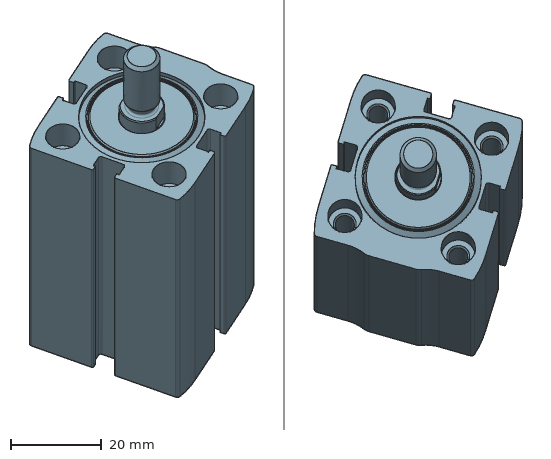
import cadquery as cq
import math

TOTAL_HEIGHT = 83.5
HOUSING_HEIGHT = 64.0
HOUSING_WIDTH = 38.5
HALF_WIDTH = HOUSING_WIDTH / 2

SIDE_FLAT_HALF = 12.7
SIDE_ARC_RADIUS = 21.7
CORNER_RADIUS = 0.8

PAD_HEIGHT = 1.0
PAD_FOOT_HALF = 10.4
PAD_CONCAVE_RADIUS = 10.0
PAD_BEND_HALF = 6.6

SLOT_MOUTH_HALF = 2.6
SLOT_INNER_HALF = 3.2
SLOT_DEPTH = 4.5
SLOT_LIP = 1.3
SLOT_FLOOR_RADIUS = 0.6
SLOT_MOUTH_RADIUS = 0.3

BOLT_SPACING = 26.05
BOLT_DIAMETER = 4.2
BOLT_CHAMFER = 0.4
COUNTERBORE_DIAMETER = 7.5
COUNTERBORE_DEPTH = 7.0

GROOVE_OUTER_DIAMETER = 27.8
GROOVE_DEPTH = 1.1
CREST_OUTER_DIAMETER = 24.7
CREST_INNER_DIAMETER = 24.1
CREST_DEPTH = 0.1

GAP_INNER_DIAMETER = 23.55
GAP_DEPTH = 0.5
BOSS_TOP_DIAMETER = 22.9
BOSS_CHAMFER_HEIGHT = 0.3

ROD_DIAMETER = 10.0
ROD_INSERTION = HOUSING_HEIGHT / 2
ROD_SEAT_CHAMFER = 0.2
HUB_HEIGHT = 3.5
HUB_CHAMFER = 0.25
HUB_ACROSS_FLATS = 9.0
NECK_DIAMETER = 6.3
NECK_FILLET = 0.6
THREAD_DIAMETER = 8.0
THREAD_START = 5.85
TIP_FLAT_DIAMETER = 6.4


def housing_block():
    """Prism with bulged X sides and the low pad on its +Y side."""
    arc_height = HALF_WIDTH - SIDE_FLAT_HALF

    def side_arc(rise):
        inset = SIDE_ARC_RADIUS - math.sqrt(SIDE_ARC_RADIUS**2 - rise**2)
        return HALF_WIDTH - inset, SIDE_FLAT_HALF + rise

    mid_x, mid_y = side_arc(arc_height / 2)
    corner_x, corner_y = side_arc(arc_height)

    turn = math.asin((PAD_FOOT_HALF - PAD_BEND_HALF) / PAD_CONCAVE_RADIUS)
    bend_rise = PAD_CONCAVE_RADIUS * (1 - math.cos(turn))
    convex_radius = (PAD_HEIGHT - bend_rise) / (1 - math.cos(turn))
    pad_top_half = PAD_BEND_HALF - convex_radius * math.sin(turn)
    concave_mid = (
        PAD_FOOT_HALF - PAD_CONCAVE_RADIUS * math.sin(turn / 2),
        HALF_WIDTH + PAD_CONCAVE_RADIUS * (1 - math.cos(turn / 2)),
    )
    pad_top = HALF_WIDTH + PAD_HEIGHT
    convex_mid = (
        pad_top_half + convex_radius * math.sin(turn / 2),
        pad_top - convex_radius * (1 - math.cos(turn / 2)),
    )

    half = (
        cq.Workplane("XY")
        .moveTo(0, -HALF_WIDTH)
        .lineTo(corner_x, -corner_y)
        .threePointArc((mid_x, -mid_y), (HALF_WIDTH, -SIDE_FLAT_HALF))
        .lineTo(HALF_WIDTH, SIDE_FLAT_HALF)
        .threePointArc((mid_x, mid_y), (corner_x, corner_y))
        .lineTo(PAD_FOOT_HALF, HALF_WIDTH)
        .threePointArc(concave_mid, (PAD_BEND_HALF, HALF_WIDTH + bend_rise))
        .threePointArc(convex_mid, (pad_top_half, pad_top))
        .lineTo(0, pad_top)
        .close()
        .extrude(HOUSING_HEIGHT)
    )
    corners = cq.selectors.BoxSelector(
        (corner_x - CORNER_RADIUS / 2, -HOUSING_WIDTH, 0),
        (corner_x + CORNER_RADIUS / 2, HOUSING_WIDTH, HOUSING_HEIGHT),
    )
    half = half.edges("|Z").edges(corners).fillet(CORNER_RADIUS)
    return half.union(half.mirror("YZ")).clean()


def t_slot():
    """Cutter for the slot that opens on the -Y side."""
    lip_y = -HALF_WIDTH + SLOT_LIP
    inner_depth = SLOT_DEPTH - SLOT_LIP
    channel = (
        cq.Workplane("XY")
        .center(0, lip_y + inner_depth / 2)
        .rect(2 * SLOT_INNER_HALF, inner_depth)
        .extrude(HOUSING_HEIGHT)
        .edges("|Z and >Y")
        .fillet(SLOT_FLOOR_RADIUS)
    )
    flare_half = SLOT_MOUTH_HALF + SLOT_MOUTH_RADIUS
    flare_y = -HALF_WIDTH + SLOT_MOUTH_RADIUS
    bow = SLOT_MOUTH_RADIUS * (1 - math.sqrt(0.5))
    mouth = (
        cq.Workplane("XY")
        .moveTo(-SLOT_MOUTH_HALF, lip_y)
        .lineTo(-SLOT_MOUTH_HALF, flare_y)
        .threePointArc((-SLOT_MOUTH_HALF - bow, -HALF_WIDTH + bow), (-flare_half, -HALF_WIDTH))
        .lineTo(flare_half, -HALF_WIDTH)
        .threePointArc((SLOT_MOUTH_HALF + bow, -HALF_WIDTH + bow), (SLOT_MOUTH_HALF, flare_y))
        .lineTo(SLOT_MOUTH_HALF, lip_y)
        .close()
        .extrude(HOUSING_HEIGHT)
    )
    return channel.union(mouth)


def bolt_hole():
    """Cutter for one counterbored through hole on the Z axis."""
    bolt_radius = BOLT_DIAMETER / 2
    seat = HOUSING_HEIGHT - COUNTERBORE_DEPTH
    return (
        cq.Workplane("XZ")
        .polyline([
            (0, 0),
            (bolt_radius, 0),
            (bolt_radius, seat - BOLT_CHAMFER),
            (bolt_radius + BOLT_CHAMFER, seat),
            (COUNTERBORE_DIAMETER / 2, seat),
            (COUNTERBORE_DIAMETER / 2, HOUSING_HEIGHT),
            (0, HOUSING_HEIGHT),
        ])
        .close()
        .revolve(360, (0, 0), (0, 1))
    )


def ring_groove():
    """Cutter for the groove, crest and gap that surround a boss flush with the housing top."""
    top = HOUSING_HEIGHT
    return (
        cq.Workplane("XZ")
        .polyline([
            (BOSS_TOP_DIAMETER / 2, top),
            (GAP_INNER_DIAMETER / 2, top - BOSS_CHAMFER_HEIGHT),
            (GAP_INNER_DIAMETER / 2, top - GAP_DEPTH),
            (CREST_INNER_DIAMETER / 2, top - GAP_DEPTH),
            (CREST_INNER_DIAMETER / 2, top - CREST_DEPTH),
            (CREST_OUTER_DIAMETER / 2, top - CREST_DEPTH),
            (GROOVE_OUTER_DIAMETER / 2, top - GROOVE_DEPTH),
            (GROOVE_OUTER_DIAMETER / 2, top),
        ])
        .close()
        .revolve(360, (0, 0), (0, 1))
    )


def rod_seat():
    """Cutter for the blind rod hole with a chamfered edge."""
    radius = ROD_DIAMETER / 2
    return (
        cq.Workplane("XZ")
        .polyline([
            (0, HOUSING_HEIGHT - ROD_INSERTION),
            (radius, HOUSING_HEIGHT - ROD_INSERTION),
            (radius, HOUSING_HEIGHT - ROD_SEAT_CHAMFER),
            (radius + ROD_SEAT_CHAMFER, HOUSING_HEIGHT),
            (0, HOUSING_HEIGHT),
        ])
        .close()
        .revolve(360, (0, 0), (0, 1))
    )


def make_housing():
    body = housing_block()
    slot = t_slot()
    for angle in (-90, 0, 90):
        body = body.cut(slot.rotate((0, 0, 0), (0, 0, 1), angle))
    hole = bolt_hole()
    for x_sign in (-1, 1):
        for y_sign in (-1, 1):
            body = body.cut(hole.translate((x_sign * BOLT_SPACING / 2, y_sign * BOLT_SPACING / 2, 0)))
    return body.cut(ring_groove()).cut(rod_seat())


def make_rod():
    """Turned rod with a chamfered hub, an undercut neck and a plain threaded end."""
    rod_radius = ROD_DIAMETER / 2
    neck_radius = NECK_DIAMETER / 2
    thread_radius = THREAD_DIAMETER / 2
    tip_radius = TIP_FLAT_DIAMETER / 2
    tip_chamfer = thread_radius - tip_radius
    hub_top = HOUSING_HEIGHT + HUB_HEIGHT
    thread_bottom = HOUSING_HEIGHT + THREAD_START
    bow = NECK_FILLET * (1 - math.sqrt(0.5))
    cone_foot = thread_bottom - (thread_radius - neck_radius)
    fillet_reach = NECK_FILLET * math.tan(math.pi / 8)
    fillet_start = cone_foot - fillet_reach
    fillet_mid = (
        neck_radius + NECK_FILLET * (1 - math.cos(math.pi / 8)),
        fillet_start + NECK_FILLET * math.sin(math.pi / 8),
    )
    fillet_end = (neck_radius + bow, fillet_start + NECK_FILLET * math.sqrt(0.5))
    turned = (
        cq.Workplane("XZ")
        .moveTo(0, HOUSING_HEIGHT - ROD_INSERTION)
        .lineTo(rod_radius, HOUSING_HEIGHT - ROD_INSERTION)
        .lineTo(rod_radius, hub_top - HUB_CHAMFER)
        .lineTo(rod_radius - HUB_CHAMFER, hub_top)
        .lineTo(neck_radius + NECK_FILLET, hub_top)
        .threePointArc((neck_radius + bow, hub_top + bow), (neck_radius, hub_top + NECK_FILLET))
        .lineTo(neck_radius, fillet_start)
        .threePointArc(fillet_mid, fillet_end)
        .lineTo(thread_radius, thread_bottom)
        .lineTo(thread_radius, TOTAL_HEIGHT - tip_chamfer)
        .lineTo(tip_radius, TOTAL_HEIGHT)
        .lineTo(0, TOTAL_HEIGHT)
        .close()
        .revolve(360, (0, 0), (0, 1))
    )
    flat_stock = (
        cq.Workplane("XY", origin=(0, 0, HOUSING_HEIGHT))
        .rect(2 * ROD_DIAMETER, 2 * ROD_DIAMETER)
        .rect(HUB_ACROSS_FLATS, 2 * ROD_DIAMETER)
        .extrude(HUB_HEIGHT)
    )
    return turned.cut(flat_stock)


housing = make_housing()
rod = make_rod()
result = cq.Compound.makeCompound([housing.val(), rod.val()])